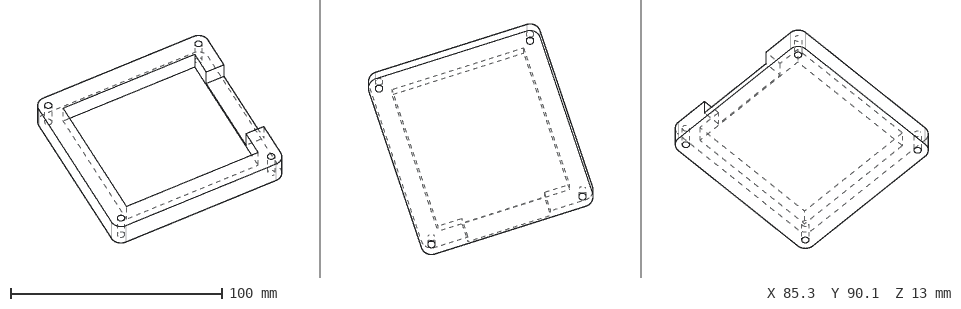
import cadquery as cq

width = 85.3
length = 90.1
height = 13.0
corner_radius = 5.0

left_wall = 9.7
right_wall = 10.0
front_wall = 10.5
back_wall = 9.5
pocket_depth = 10.0

notch_offset = 21.6
notch_width = 41.2
notch_depth = 9

hole_diameter = 3.4

left = -width / 2
front = -length / 2
pocket_width = width - left_wall - right_wall
pocket_length = length - front_wall - back_wall


def cutter(x, y, size_x, size_y, depth):
    """Box reaching down from the top face, placed by its left front corner."""
    box = cq.Workplane("XY").box(size_x, size_y, depth, centered=False)
    return box.translate((x, y, height - depth))


block = (
    cq.Workplane("XY")
    .box(width, length, height, centered=(True, True, False))
    .edges("|Z")
    .fillet(corner_radius)
)

pocket = cutter(left + left_wall, front + front_wall, pocket_width, pocket_length, pocket_depth)
notch = cutter(left + notch_offset, length / 2 - back_wall, notch_width, back_wall, notch_depth)

corner_holes = (
    cq.Workplane("XY")
    .rect(width - 2 * corner_radius, length - 2 * corner_radius, forConstruction=True)
    .vertices()
    .circle(hole_diameter / 2)
    .extrude(height)
)

result = block.cut(pocket).cut(notch).cut(corner_holes)